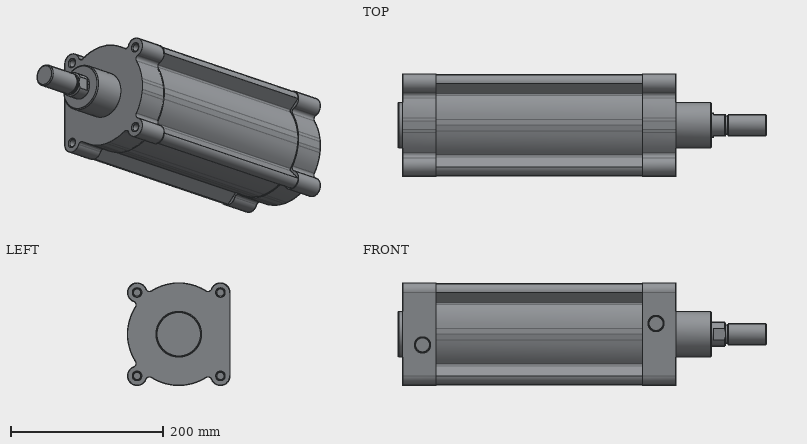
import cadquery as cq
import math


boss_length = 6.5
cap_length = 44.0
barrel_length = 271.0
gland_length = 46.5
total_length = 485.0
rear_cap_x = boss_length
barrel_x = rear_cap_x + cap_length
front_cap_x = barrel_x + barrel_length
gland_x = front_cap_x + cap_length
rod_x = gland_x + gland_length

cap_radius = 67.5
ear_pitch = 55.0
ear_radius = cap_radius - ear_pitch
notch_fillet = 5.0
crown_flat_half = 5.5
crown_half = 9.5
boss_radius = 30.0
boss_chamfer = 1.5

bolt_hole_radius = 5.0
bolt_hole_depth = 19.5
bolt_hole_chamfer = 1.5

port_radius = 9.0
port_depth = 29.0
port_chamfer = 1.5
port_inset = 26.0
port_height = 14.0

barrel_radius = 66.0
barrel_half_width = 66.5
column_radius = barrel_half_width - ear_pitch
column_fillet = 2.5
ridge_half = 8.0

rod_radius = 16.0
rod_length = 19.0
rod_chamfer = 2.0
flat_half_width = 14.0
flat_start = 3.0
neck_radius = 12.0
neck_length = 2.5
thread_radius = 14.0
thread_chamfer = 1.5

ear_signs = [(1, 1), (1, -1), (-1, 1), (-1, -1)]
ear_centres = [(sy * ear_pitch, sz * ear_pitch) for sy, sz in ear_signs]


def section(x):
    """Work plane across the axis at station x: local x is Y, local y is Z."""
    return cq.Workplane("YZ", origin=(x, 0, 0))


def edges_along_axis(body, points):
    """Edges of body that run along X through the given (Y, Z) points."""
    tolerance = 0.05

    def is_wanted(edge):
        centre = edge.Center()
        return any(math.hypot(centre.y - y, centre.z - z) < tolerance for y, z in points)

    return body.edges("|X").filter(is_wanted)


def cap_notch_corners():
    """Points where the ears meet the round body, except beside the flat -Y face."""
    ear_distance = math.hypot(ear_pitch, ear_pitch)
    cosine = (cap_radius**2 + ear_distance**2 - ear_radius**2) / (2 * cap_radius * ear_distance)
    angle = math.radians(45) - math.acos(cosine)
    near = cap_radius * math.sin(angle)
    far = cap_radius * math.cos(angle)
    top_and_bottom = [(sy * near, sz * far) for sy, sz in ear_signs]
    back = [(far, near), (far, -near)]
    return top_and_bottom + back


def make_cap_block(x):
    """Round cap with four ears, a flat -Y face and low flat crowns on the other three sides."""
    block = section(x).circle(cap_radius).extrude(cap_length)
    block = block.union(section(x).pushPoints(ear_centres).circle(ear_radius).extrude(cap_length))

    flank_depth = 1.5 * ear_radius
    flank = section(x).center(flank_depth / 2 - cap_radius, 0).rect(flank_depth, 2 * ear_pitch)
    block = block.union(flank.extrude(cap_length))

    shoulder = math.sqrt(cap_radius**2 - crown_half**2)
    crown_outline = [
        (-crown_half, 0),
        (-crown_half, shoulder),
        (-crown_flat_half, cap_radius),
        (crown_flat_half, cap_radius),
        (crown_half, shoulder),
        (crown_half, 0),
    ]
    crown = section(x).polyline(crown_outline).close().extrude(cap_length)
    for angle in (0, 180, -90):
        block = block.union(crown.rotate((0, 0, 0), (1, 0, 0), angle))

    return edges_along_axis(block, cap_notch_corners()).fillet(notch_fillet)


def make_bolt_holes(face_x, inward):
    """Chamfered blind holes from an end face; inward is the drilling direction, +1 or -1 along X."""
    mouth_radius = bolt_hole_radius + bolt_hole_chamfer
    face = section(face_x).pushPoints(ear_centres)
    drills = face.circle(bolt_hole_radius).extrude(inward * bolt_hole_depth)
    mouth = cq.Solid.makeCone(
        mouth_radius, bolt_hole_radius, bolt_hole_chamfer, cq.Vector(face_x, 0, 0), cq.Vector(inward, 0, 0)
    )
    for y, z in ear_centres:
        drills = drills.union(cq.Workplane(mouth.translate(cq.Vector(0, y, z))))
    return drills


def make_port(x, z):
    """Chamfered blind air port drilled from the flat -Y face."""
    mouth = cq.Vector(x, -cap_radius, z)
    inward = cq.Vector(0, 1, 0)
    drill = cq.Solid.makeCylinder(port_radius, port_depth, mouth, inward)
    countersink = cq.Solid.makeCone(port_radius + port_chamfer, port_radius, port_chamfer, mouth, inward)
    return cq.Workplane(drill).union(cq.Workplane(countersink))


def make_rear_cap():
    cap = make_cap_block(rear_cap_x)
    boss = section(0).circle(boss_radius).extrude(boss_length).faces("<X").chamfer(boss_chamfer)
    cap = cap.union(boss)
    cap = cap.cut(make_bolt_holes(rear_cap_x, 1))
    return cap.cut(make_port(rear_cap_x + port_inset, -port_height))


def make_front_cap():
    cap = make_cap_block(front_cap_x)
    gland = section(gland_x).circle(boss_radius).extrude(gland_length).faces(">X").chamfer(boss_chamfer)
    cap = cap.union(gland)
    cap = cap.cut(make_bolt_holes(gland_x, -1))
    return cap.cut(make_port(gland_x - port_inset, port_height))


def barrel_column_corners():
    """Points where the 45 degree sides of the columns meet the round barrel."""
    near = (math.sqrt(2 * barrel_radius**2 - column_radius**2) - column_radius) / 2
    far = near + column_radius
    return [(sy * y, sz * z) for sy, sz in ear_signs for y, z in ((near, far), (far, near))]


def make_barrel():
    """Round barrel with a corner column along each tie bolt and a low ridge between columns."""
    barrel = section(barrel_x).circle(barrel_radius).extrude(barrel_length)

    arc_middle = ear_pitch + column_radius * math.sqrt(0.5)
    root_near = ear_pitch - 2 * column_radius
    root_far = barrel_half_width - 2 * column_radius
    column = (
        section(barrel_x)
        .moveTo(ear_pitch, barrel_half_width)
        .threePointArc((arc_middle, arc_middle), (barrel_half_width, ear_pitch))
        .lineTo(root_far, root_near)
        .lineTo(root_near, root_far)
        .close()
        .extrude(barrel_length)
    )

    shoulder = math.sqrt(barrel_radius**2 - ridge_half**2)
    ridge_outline = [
        (-ridge_half, 0),
        (-ridge_half, shoulder),
        (0, barrel_half_width),
        (ridge_half, shoulder),
        (ridge_half, 0),
    ]
    ridge = section(barrel_x).polyline(ridge_outline).close().extrude(barrel_length)

    for angle in (0, 90, 180, 270):
        barrel = barrel.union(column.rotate((0, 0, 0), (1, 0, 0), angle))
        barrel = barrel.union(ridge.rotate((0, 0, 0), (1, 0, 0), angle))

    return edges_along_axis(barrel, barrel_column_corners()).fillet(column_fillet)


def make_rod():
    """Piston rod with two wrench flats, a neck and a threaded end of plain diameter."""
    shank = section(rod_x).circle(rod_radius).extrude(rod_length).faces(">X").chamfer(rod_chamfer)
    flat_length = rod_length - flat_start
    flat_depth = rod_radius - flat_half_width
    for side in (1, -1):
        flat = section(rod_x + flat_start).center(side * (flat_half_width + flat_depth / 2), 0)
        shank = shank.cut(flat.rect(flat_depth, 2 * rod_radius).extrude(flat_length))

    neck_x = rod_x + rod_length
    neck = section(neck_x).circle(neck_radius).extrude(neck_length)

    thread_x = neck_x + neck_length
    thread = section(thread_x).circle(thread_radius).extrude(total_length - thread_x)
    thread = thread.faces("<X or >X").chamfer(thread_chamfer)
    return shank.union(neck).union(thread)


rear_cap = make_rear_cap()
barrel = make_barrel()
front_cap = make_front_cap()
rod = make_rod()

result = cq.Compound.makeCompound([rear_cap.val(), barrel.val(), front_cap.val(), rod.val()])